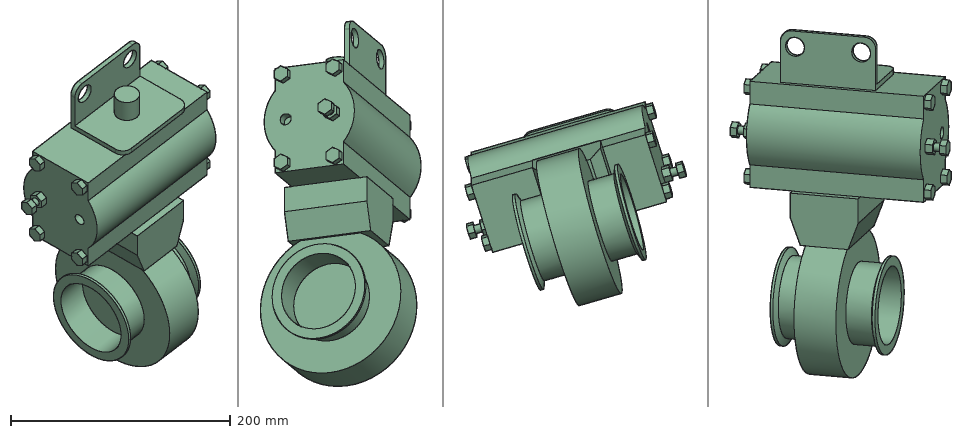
import cadquery as cq
import math


valve_diameter = 137.8
valve_width = 40.0
tube_diameter = 76.5
bore_diameter = 72.5
ferrule_diameter = 91.0
valve_length = 100.0
ferrule_rim_width = 2.5
ferrule_taper_width = 3.0
disc_thickness = valve_width

mount_bottom = 62.0
mount_shoulder = 87.5
mount_top = 111.0
mount_width = 81.0
mount_depth = 64.8
mount_foot_depth = 45.5

actuator_height = 100.8
actuator_width = 67.0
barrel_diameter = 88.5
actuator_length = 166.0
actuator_offset = -10.0
actuator_axis = mount_top + actuator_height / 2
actuator_top = mount_top + actuator_height

hex_flats = 13.0
hex_corners = hex_flats / math.cos(math.pi / 6)
bolt_head_thickness = 6.3
lock_nut_thickness = 7.3
cover_bolt_x = 25.5
cover_bolt_z = 42.5
stop_screw_x = 23.0
stop_screw_diameter = 8.0
total_depth = 206.0
stop_screw_length = (total_depth - actuator_length) / 2
port_diameter = 10.5
port_depth = 10.0

post_diameter = 23.0
post_height = 26.8
total_height = 330.5
bracket_thickness = 5.0
bracket_left = -28.5
bracket_right = 35.7
bracket_depth = 91.0
bracket_corner_radius = 10.2
bracket_top = total_height - valve_diameter / 2
bracket_hole_diameter = 18.0
bracket_hole_spacing = 63.0
bracket_hole_drop = 15.0


def box_between(x, y, z):
    """Box spanning the given (low, high) pair along each axis."""
    size = (x[1] - x[0], y[1] - y[0], z[1] - z[0])
    return cq.Workplane("XY").box(*size, centered=False).translate((x[0], y[0], z[0]))


def make_valve():
    """Revolved wafer and ferrules, bored from both ends down to the disc, with a flat on top."""
    end = valve_length / 2
    rim = end - ferrule_rim_width
    taper = rim - ferrule_taper_width
    half_profile = [
        (ferrule_diameter / 2, end),
        (ferrule_diameter / 2, rim),
        (tube_diameter / 2, taper),
        (tube_diameter / 2, valve_width / 2),
        (valve_diameter / 2, valve_width / 2),
    ]
    mirrored_profile = [(radius, -y) for radius, y in reversed(half_profile)]
    profile = [(0, end)] + half_profile + mirrored_profile + [(0, -end)]
    body = cq.Workplane("XY").polyline(profile).close().revolve(360, (0, 0), (0, 1))

    bore_depth = (valve_length - disc_thickness) / 2
    for face in ("<Y", ">Y"):
        body = body.faces(face).workplane(centerOption="CenterOfBoundBox").hole(bore_diameter, bore_depth)

    radius = valve_diameter / 2
    above_flat = box_between((-radius, radius), (-end, end), (mount_bottom, radius))
    return body.cut(above_flat)


def make_mount():
    """Block that narrows along Y towards the valve."""
    profile = [
        (-mount_foot_depth / 2, mount_bottom),
        (mount_foot_depth / 2, mount_bottom),
        (mount_depth / 2, mount_shoulder),
        (mount_depth / 2, mount_top),
        (-mount_depth / 2, mount_top),
        (-mount_depth / 2, mount_shoulder),
    ]
    return cq.Workplane("YZ").polyline(profile).close().extrude(mount_width / 2, both=True)


def end_plane(distance):
    """Plane across the actuator axis, facing -Y, at a distance from the actuator middle."""
    return cq.Workplane("XZ", origin=(0, -distance, actuator_axis))


def hex_prism(x, z, distance, thickness):
    """Bolt head or nut with its points up and down."""
    sketch = end_plane(distance).center(x, z).transformed(rotate=(0, 0, 90))
    return sketch.polygon(6, hex_corners).extrude(thickness)


def make_end_fasteners():
    """Cover bolts and the stop screw with its lock nut, on the -Y end of the actuator."""
    face = actuator_length / 2
    head_seat = face + stop_screw_length - bolt_head_thickness
    fasteners = hex_prism(-stop_screw_x, 0, face, lock_nut_thickness)
    fasteners = fasteners.union(hex_prism(-stop_screw_x, 0, head_seat, bolt_head_thickness))
    shank = end_plane(face).center(-stop_screw_x, 0).circle(stop_screw_diameter / 2)
    fasteners = fasteners.union(shank.extrude(stop_screw_length))
    for x in (-cover_bolt_x, cover_bolt_x):
        for z in (-cover_bolt_z, cover_bolt_z):
            fasteners = fasteners.union(hex_prism(x, z, face, bolt_head_thickness))
    return fasteners


def make_actuator():
    """Barrel crossed with a box, with fasteners and an air port on each end and the post on top."""
    half_length = actuator_length / 2
    box = end_plane(0).rect(actuator_width, actuator_height).extrude(half_length, both=True)
    barrel = end_plane(0).circle(barrel_diameter / 2).extrude(half_length, both=True)
    body = box.union(barrel)

    fasteners = make_end_fasteners()
    port = end_plane(half_length).center(stop_screw_x, 0).circle(port_diameter / 2).extrude(-port_depth)
    body = body.union(fasteners).union(fasteners.mirror("XZ"))
    body = body.cut(port).cut(port.mirror("XZ"))
    body = body.translate((0, actuator_offset, 0))

    post = cq.Workplane("XY").workplane(offset=actuator_top).circle(post_diameter / 2).extrude(post_height)
    return body.union(post)


def make_bracket():
    """Angle bracket around the post, with rounded free corners and two holes in its upright leg."""
    depth = (-bracket_depth / 2, bracket_depth / 2)
    base_top = actuator_top + bracket_thickness
    upright_face = bracket_left + bracket_thickness

    base = box_between((bracket_left, bracket_right), depth, (actuator_top, base_top))
    base = base.edges("|Z and >X").fillet(bracket_corner_radius)
    upright = box_between((bracket_left, upright_face), depth, (actuator_top, bracket_top))
    upright = upright.edges("|X and >Z").fillet(bracket_corner_radius)

    hole_y = bracket_hole_spacing / 2
    holes = (
        cq.Workplane("YZ", origin=(bracket_left, 0, bracket_top - bracket_hole_drop))
        .pushPoints([(-hole_y, 0), (hole_y, 0)])
        .circle(bracket_hole_diameter / 2)
        .extrude(bracket_thickness)
    )
    post_hole = (
        cq.Workplane("XY", origin=(0, 0, actuator_top))
        .circle(post_diameter / 2)
        .extrude(bracket_thickness)
    )
    return base.union(upright).cut(holes).cut(post_hole)


valve = make_valve()
mount = make_mount()
actuator = make_actuator()
bracket = make_bracket()

result = cq.Compound.makeCompound([valve.val(), mount.val(), actuator.val(), bracket.val()])